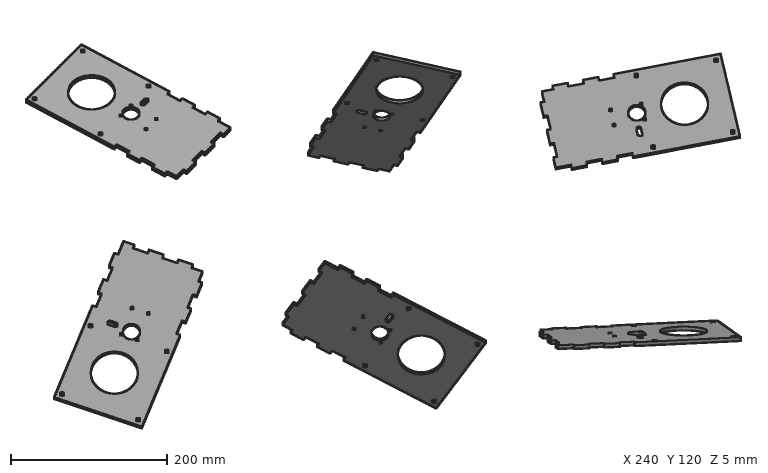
import cadquery as cq

length = 240.0
width = length / 2
thickness = 5.0

finger = width / 6
notch_depth = thickness
side_joint_start = length - 5 * finger

large_diameter = 60.0
large_x = width / 2
mount_diameter = 5.0
mount_inset = 8.0
mount_spacing = width - 2 * mount_inset

small_diameter = 22.0
small_x = 122.5
screw_diameter = 3.5
screw_pattern_x = 134.5
screw_spacing_x = 40.0
screw_spacing_y = 22.0

slot_length = 13.5
slot_width = 6.0
slot_x = 124.5
slot_y = width / 2 + 26.6


def box_at(x, y, size_x, size_y):
    """Block through the plate, with its lower-left corner at (x, y)."""
    return cq.Workplane("XY").box(size_x, size_y, thickness, centered=False).translate((x, y, 0))


def drill(body, points, diameter):
    """Cut round holes through the plate at the given points."""
    cutter = cq.Workplane("XY").pushPoints(points).circle(diameter / 2).extrude(thickness)
    return body.cut(cutter)


def rectangle_points(center_x, spacing_x, spacing_y):
    """Corners of a rectangle centred across the plate width."""
    return [
        (center_x + side_x * spacing_x / 2, width / 2 + side_y * spacing_y / 2)
        for side_x in (-1, 1)
        for side_y in (-1, 1)
    ]


plate = box_at(0, 0, length, width)

for index in range(3):
    notch_x = side_joint_start + 2 * index * finger
    for notch_y in (0, width - notch_depth):
        plate = plate.cut(box_at(notch_x, notch_y, finger, notch_depth))

for index in range(3):
    notch_y = 2 * index * finger
    plate = plate.cut(box_at(length - notch_depth, notch_y, notch_depth, finger))

plate = drill(plate, [(large_x, width / 2)], large_diameter)
plate = drill(plate, rectangle_points(large_x, mount_spacing, mount_spacing), mount_diameter)
plate = drill(plate, [(small_x, width / 2)], small_diameter)
plate = drill(plate, rectangle_points(screw_pattern_x, screw_spacing_x, screw_spacing_y), screw_diameter)

slot = cq.Workplane("XY").center(slot_x, slot_y).slot2D(slot_length, slot_width, 90).extrude(thickness)
result = plate.cut(slot)